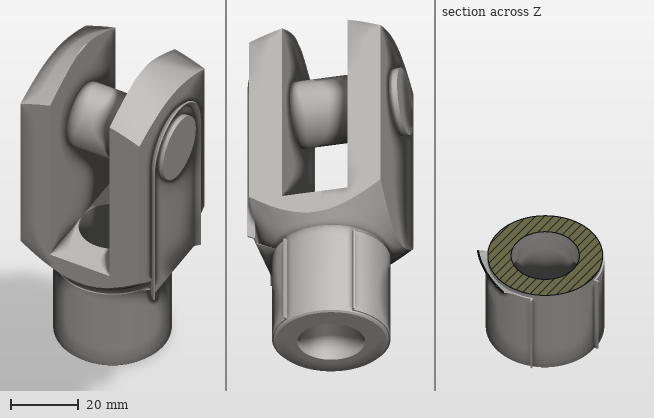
import cadquery as cq
import math

total_height = 105.0
body_width = 40.0
slot_width = 20.0
slot_floor_z = 40.0
neck_radius = 17.0
neck_height = 30.0
neck_chamfer = 0.5
bore_radius = 10.0
top_flat_radius = 10.5
top_slope = math.radians(30)

pin_radius = 10.0
pin_length = 45.0
pin_z = 80.0

sheet = 0.5
dish_floor_half_width = 12.8
rim_reach = 1.6
rim_angle = math.radians(45)
strap_bottom_z = 31.25
band_thickness = sheet
band_bottom_z = 1.0
band_top_z = 28.5
band_gap_half_angle = 35.0
lip_height = 0.85
flap_half_width = 9.8

half_width = body_width / 2
band_radius = neck_radius + band_thickness


def make_turned_envelope():
    """Revolved outline: neck, 45 degree shoulder and sloped top."""
    corner_radius = half_width * math.sqrt(2)
    shoulder_top_z = neck_height + corner_radius - neck_radius
    slope_bottom_z = total_height - (corner_radius - top_flat_radius) * math.tan(top_slope)
    outline = [
        (0, 0),
        (neck_radius - neck_chamfer, 0),
        (neck_radius, neck_chamfer),
        (neck_radius, neck_height),
        (corner_radius, shoulder_top_z),
        (corner_radius, slope_bottom_z),
        (top_flat_radius, total_height),
        (0, total_height),
    ]
    return cq.Workplane("XZ").polyline(outline).close().revolve(360, (0, 0, 0), (0, 1, 0))


def make_fork():
    """Square bar trimmed by the turned envelope, slotted across Y and bored along Z."""
    bar = cq.Workplane("XY").rect(body_width, body_width).extrude(total_height)
    slot = (
        cq.Workplane("XY")
        .workplane(offset=slot_floor_z)
        .rect(slot_width, body_width)
        .extrude(total_height - slot_floor_z)
    )
    bore = cq.Workplane("XY").circle(bore_radius).extrude(slot_floor_z)
    return bar.intersect(make_turned_envelope()).cut(slot).cut(bore)


def make_pin():
    """Plain pin through both fork arms."""
    return (
        cq.Workplane("YZ")
        .workplane(offset=-pin_length / 2)
        .center(0, pin_z)
        .circle(pin_radius)
        .extrude(pin_length)
    )


def make_strap():
    """Sheet strap with a 45 degree rim, rounded about the pin and open at the bottom."""
    rim_edge = sheet * math.sin(rim_angle)
    inner_corner = dish_floor_half_width - sheet * math.tan(rim_angle / 2)
    floor_x = half_width
    tip_x = floor_x + rim_reach
    tip_y = dish_floor_half_width + rim_reach
    half_section = [
        (floor_x, 0),
        (floor_x, dish_floor_half_width),
        (tip_x, tip_y),
        (tip_x + rim_edge, tip_y - rim_edge),
        (floor_x + sheet, inner_corner),
        (floor_x + sheet, 0),
    ]
    section = cq.Workplane("XY").workplane(offset=pin_z).polyline(half_section).close()
    rounded_end = section.revolve(180, (0, 0, 0), (1, 0, 0))
    straight_half = (
        cq.Workplane("XY")
        .workplane(offset=strap_bottom_z)
        .polyline(half_section)
        .close()
        .extrude(pin_z - strap_bottom_z)
    )
    return rounded_end.union(straight_half).union(straight_half.mirror("XZ"))


def make_band():
    """Band around the neck, open toward +Y, with an outward lip at each end."""
    band_height = band_top_z - band_bottom_z
    base = cq.Workplane("XY").workplane(offset=band_bottom_z)
    band = base.circle(band_radius).circle(neck_radius).extrude(band_height)
    gap_half_width = band_radius * math.tan(math.radians(band_gap_half_angle))
    gap = (
        base.polyline([(0, 0), (gap_half_width, band_radius), (-gap_half_width, band_radius)])
        .close()
        .extrude(band_height)
    )
    band = band.cut(gap)
    lip_length = band_thickness + lip_height
    for side in (-1, 1):
        lip = (
            base.center(neck_radius + lip_length / 2, side * band_thickness / 2)
            .rect(lip_length, band_thickness)
            .extrude(band_height)
            .rotate((0, 0, 0), (0, 0, 1), 90 + side * band_gap_half_angle)
        )
        band = band.union(lip)
    return band


def make_flap():
    """Sloped sheet from the band's top edge out to the strap's bottom edge."""
    half_angle = math.asin(flap_half_width / band_radius)

    def arc_point(radius, angle):
        return (radius * math.cos(angle), radius * math.sin(angle))

    return (
        cq.Workplane("XY")
        .workplane(offset=band_top_z)
        .moveTo(*arc_point(neck_radius, -half_angle))
        .lineTo(*arc_point(band_radius, -half_angle))
        .threePointArc((band_radius, 0), arc_point(band_radius, half_angle))
        .lineTo(*arc_point(neck_radius, half_angle))
        .threePointArc((neck_radius, 0), arc_point(neck_radius, -half_angle))
        .close()
        .workplane(offset=strap_bottom_z - band_top_z)
        .moveTo(half_width, -flap_half_width)
        .lineTo(half_width + sheet, -flap_half_width)
        .lineTo(half_width + sheet, flap_half_width)
        .lineTo(half_width, flap_half_width)
        .close()
        .loft(ruled=True)
    )


result = make_fork().union(make_pin()).union(make_strap()).union(make_band()).union(make_flap())